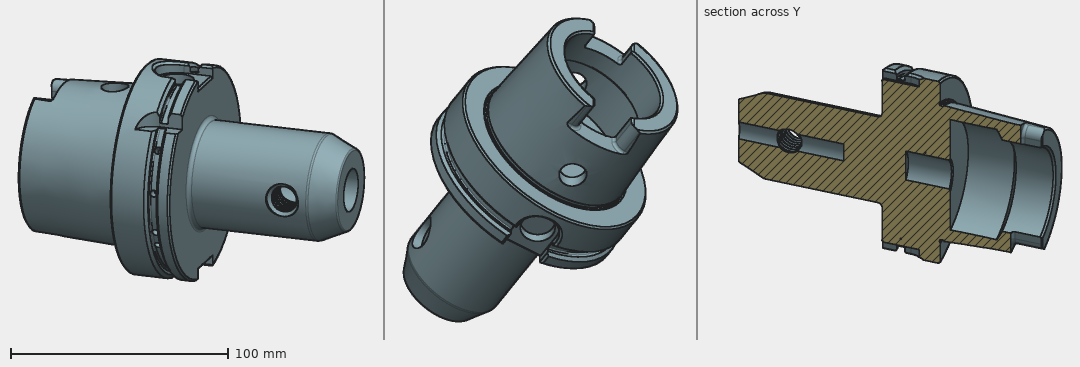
import cadquery as cq
import math


taper_length = 50.0
taper_end_radius = 35.5
taper_slope = 0.05
taper_end_chamfer = 1.0
relief_width = 2.0
relief_ramp = 0.5
relief_radius = 37.4
relief_bottom_radius = 38.1
relief_face_radius = 39.0
relief_face_depth = 0.4

flange_radius = 50.0
flange_width = 29.0
flange_chamfer = 0.9
groove_center = 20.0
groove_floor_radius = 46.0
groove_shoulder_radius = 48.2
groove_mouth_half = 3.45
groove_shoulder_half = 2.05
groove_floor_fillet = 0.7

nose_end = 100.0
nose_radius = 25.0
nose_root_fillet = 2.0
nose_cone_start = 87.2
nose_cone_blend = 2.5
nose_tip_radius = 19.2
nose_tip_fillet = 1.0

clamp_bore_radius = 26.1
clamp_bore_chamfer = 1.0
clamp_lip_end = -30.7
clamp_recess_radius = 31.0
clamp_shoulder_angle = 60.0
clamp_floor = -5.0
tube_bore_radius = 11.8
tube_bore_chamfer = 0.6
tube_bore_floor = 17.0
coolant_radius = 5.4
coolant_chamfer = 0.7
tool_bore_radius = 10.0
tool_bore_floor = 48.0

slot_half_width = 10.0
slot_ledge_height = 32.2
slot_corner_radius = 4.4
slot_floor_fillet = 1.5
slot_mouth_flare = 1.1
slot_mouth_flare_length = 0.5
slot_depths = {1: 10.0, -1: 15.0}

access_hole_x = -15.1
access_hole_radius = 6.3

keyway_half_width = 10.0
keyway_center = 15.0
keyway_floor = 44.0
keyway_chamfer = 1.3
pocket_radius = 8.0
pocket_depth = 5.0

notch_wall = 31.6
notch_end_radius = 9.6
notch_end_center = 17.7

balance_hole_angles = (30.0, 5.0, -20.0, -30.0)
balance_hole_radius = 1.6
balance_hole_bottom = 40.5

screw_x = 75.2
screw_mouth_radius = 7.9
screw_mouth_depth = 1.6
thread_minor_radius = 6.1
thread_major_radius = 7.1
thread_pitch = 2.0
recess_depth = 5.0


def revolve_x(points):
    """Solid of revolution about X from (x, radius) points."""
    profile = cq.Workplane("XY").polyline(points).close()
    return profile.revolve(360, (0, 0, 0), (1, 0, 0))


def cylinder_z(x, y, radius, bottom, top):
    """Upright cylinder between two heights."""
    return cq.Workplane("XY", origin=(x, y, bottom)).circle(radius).extrude(top - bottom)


def box_between(low, high):
    """Axis-aligned box between two opposite corners."""
    size = [b - a for a, b in zip(low, high)]
    return cq.Workplane("XY").box(*size, centered=False).translate(tuple(low))


def edges_near(low, high):
    """Selector for edges whose centres lie between two opposite corners."""
    return cq.selectors.BoxSelector(low, high, boundingbox=False)


def make_taper():
    relief_start_radius = taper_end_radius + taper_slope * (taper_length - relief_width)
    return revolve_x([
        (-taper_length, 0),
        (-taper_length, taper_end_radius - taper_end_chamfer),
        (-taper_length + taper_end_chamfer, taper_end_radius + taper_slope * taper_end_chamfer),
        (-relief_width, relief_start_radius),
        (-relief_width + relief_ramp, relief_radius),
        (relief_face_depth, relief_radius),
        (relief_face_depth, 0),
    ])


def make_nose():
    profile = (
        cq.Workplane("XY")
        .moveTo(flange_width - flange_chamfer, 0)
        .lineTo(flange_width - flange_chamfer, nose_radius + nose_root_fillet)
        .lineTo(flange_width, nose_radius + nose_root_fillet)
        .radiusArc((flange_width + nose_root_fillet, nose_radius), -nose_root_fillet)
        .lineTo(nose_cone_start, nose_radius)
        .lineTo(nose_end, nose_tip_radius)
        .lineTo(nose_end, 0)
        .close()
    )
    nose = profile.revolve(360, (0, 0, 0), (1, 0, 0))
    cone_edge = edges_near(
        (nose_cone_start - nose_cone_blend, -nose_radius, -nose_radius),
        (nose_cone_start + nose_cone_blend, nose_radius, nose_radius),
    )
    nose = nose.edges("%CIRCLE").edges(cone_edge).fillet(nose_cone_blend)
    return nose.faces(">X").edges().fillet(nose_tip_fillet)


def keyway_cutter():
    """Round-ended keyway on +Z, open towards +X."""
    round_end = cylinder_z(keyway_center, 0, keyway_half_width, keyway_floor, flange_radius)
    straight = box_between(
        (keyway_center, -keyway_half_width, keyway_floor),
        (flange_width, keyway_half_width, flange_radius),
    )
    return round_end.union(straight)


def make_flange():
    return revolve_x([
        (0, 0),
        (0, flange_radius - flange_chamfer),
        (flange_chamfer, flange_radius),
        (flange_width - flange_chamfer, flange_radius),
        (flange_width, flange_radius - flange_chamfer),
        (flange_width, 0),
    ])


def rim_selector(side):
    """Edges where a keyway wall meets the outside of the flange."""
    wall_middle = (keyway_floor + flange_radius) / 2
    heights = sorted((side * wall_middle, side * flange_radius))
    return edges_near(
        (flange_chamfer, -flange_radius / 2, heights[0]),
        (flange_width - flange_chamfer / 2, flange_radius / 2, heights[1]),
    )


def floor_end_selector(side):
    """Edge where a keyway floor meets the front face of the flange."""
    margin = flange_chamfer / 2
    return edges_near(
        (flange_width - margin, -margin, side * keyway_floor - margin),
        (flange_width + margin, margin, side * keyway_floor + margin),
    )


def cut_keyways(flange):
    """Keyways on +Z and -Z with chamfered rims and pocketed floors."""
    for side in (1, -1):
        cutter = keyway_cutter()
        pocket = cylinder_z(keyway_center, 0, pocket_radius, keyway_floor - pocket_depth, flange_radius)
        if side < 0:
            cutter = cutter.mirror("XY")
            pocket = pocket.mirror("XY")
        flange = flange.cut(cutter)
        flange = flange.edges(rim_selector(side)).chamfer(keyway_chamfer)
        flange = flange.edges(floor_end_selector(side)).chamfer(flange_chamfer)
        flange = flange.cut(pocket)
    return flange


def cut_groove(flange):
    left_wall = groove_center - groove_shoulder_half
    right_wall = groove_center + groove_shoulder_half
    fillet_top = groove_floor_radius + groove_floor_fillet
    profile = (
        cq.Workplane("XY")
        .moveTo(groove_center - groove_mouth_half, flange_radius)
        .lineTo(left_wall, groove_shoulder_radius)
        .lineTo(left_wall, fillet_top)
        .radiusArc((left_wall + groove_floor_fillet, groove_floor_radius), -groove_floor_fillet)
        .lineTo(right_wall - groove_floor_fillet, groove_floor_radius)
        .radiusArc((right_wall, fillet_top), -groove_floor_fillet)
        .lineTo(right_wall, groove_shoulder_radius)
        .lineTo(groove_center + groove_mouth_half, flange_radius)
        .close()
    )
    groove = profile.revolve(360, (0, 0, 0), (1, 0, 0))
    return flange.cut(groove)


def cut_notch(flange):
    """Square-cornered notch on the -Y, +Z rim with a round end."""
    center_y = -notch_wall - notch_end_radius
    round_end = cylinder_z(notch_end_center, center_y, notch_end_radius, notch_wall, flange_radius)
    straight = box_between(
        (notch_end_center, -flange_radius, notch_wall),
        (flange_width, -notch_wall, flange_radius),
    )
    return flange.cut(round_end.union(straight))


def cut_balance_holes(flange):
    hole_length = groove_shoulder_radius - balance_hole_bottom
    for angle in balance_hole_angles:
        direction = cq.Vector(0, -math.cos(math.radians(angle)), math.sin(math.radians(angle)))
        start = direction * balance_hole_bottom + cq.Vector(groove_center, 0, 0)
        hole = cq.Solid.makeCylinder(balance_hole_radius, hole_length, start, direction)
        flange = flange.cut(cq.Workplane(obj=hole))
    return flange


def relief_ring():
    """Undercut in the contact face around the taper root."""
    return revolve_x([
        (-relief_face_depth, relief_radius),
        (0, relief_radius),
        (relief_face_depth, relief_bottom_radius),
        (0, relief_face_radius),
        (-relief_face_depth, relief_face_radius),
    ])


def axial_bores():
    """Clamping cavity, coolant-tube seat, coolant hole and tool bore, all on the axis."""
    shoulder_slope = math.tan(math.radians(clamp_shoulder_angle))
    shoulder_length = (clamp_recess_radius - clamp_bore_radius) / shoulder_slope
    return revolve_x([
        (-taper_length, 0),
        (-taper_length, clamp_bore_radius + clamp_bore_chamfer),
        (-taper_length + clamp_bore_chamfer, clamp_bore_radius),
        (clamp_lip_end, clamp_bore_radius),
        (clamp_lip_end + shoulder_length, clamp_recess_radius),
        (clamp_floor, clamp_recess_radius),
        (clamp_floor, tube_bore_radius + tube_bore_chamfer),
        (clamp_floor + tube_bore_chamfer, tube_bore_radius),
        (tube_bore_floor, tube_bore_radius),
        (tube_bore_floor, coolant_radius + coolant_chamfer),
        (tube_bore_floor + coolant_chamfer, coolant_radius),
        (tool_bore_floor, coolant_radius),
        (tool_bore_floor, tool_bore_radius),
        (nose_end, tool_bore_radius),
        (nose_end, 0),
    ])


def slot_cutter(depth):
    """Drive slot on +Z, opening outwards over rounded corners; its floor edge is filleted."""
    reach = flange_radius
    corner_y = slot_half_width + slot_corner_radius
    corner_z = slot_ledge_height - slot_corner_radius
    outline = (
        cq.Workplane("YZ", origin=(-taper_length, 0, 0))
        .moveTo(-slot_half_width, 0)
        .lineTo(-slot_half_width, corner_z)
        .radiusArc((-corner_y, slot_ledge_height), -slot_corner_radius)
        .lineTo(-reach, slot_ledge_height)
        .lineTo(-reach, reach)
        .lineTo(reach, reach)
        .lineTo(reach, slot_ledge_height)
        .lineTo(corner_y, slot_ledge_height)
        .radiusArc((slot_half_width, corner_z), -slot_corner_radius)
        .lineTo(slot_half_width, 0)
        .close()
    )
    slot = outline.extrude(depth).faces(">X").edges().fillet(slot_floor_fillet)
    flared_half = slot_half_width + slot_mouth_flare
    mouth = (
        cq.Workplane("XY")
        .moveTo(-taper_length, -flared_half)
        .lineTo(-taper_length, flared_half)
        .lineTo(-taper_length + slot_mouth_flare_length, slot_half_width)
        .lineTo(-taper_length + slot_mouth_flare_length, -slot_half_width)
        .close()
        .extrude(slot_ledge_height - slot_corner_radius / 2)
    )
    return slot.union(mouth)


def cut_drive_slots(body):
    for side, depth in slot_depths.items():
        cutter = slot_cutter(depth)
        if side < 0:
            cutter = cutter.mirror("XY")
        body = body.cut(cutter)
    return body


def cut_access_hole(body):
    return body.cut(cylinder_z(access_hole_x, 0, access_hole_radius, -flange_radius, flange_radius))


def cut_screw_holes(body):
    """Threaded hole into the tool bore from -Y, threads as rings, and a blind recess on +Y."""
    mouth_edge = math.sqrt(nose_radius**2 - screw_mouth_radius**2)
    thread_end = mouth_edge - screw_mouth_depth
    turns = math.floor((thread_end - tool_bore_radius) / thread_pitch)
    points = [(0, 0), (thread_minor_radius, 0)]
    for turn in range(turns):
        root = thread_end - (turns - turn) * thread_pitch
        points.append((thread_minor_radius, root))
        points.append((thread_major_radius, root + thread_pitch / 2))
    points += [
        (thread_minor_radius, thread_end),
        (screw_mouth_radius, mouth_edge),
        (screw_mouth_radius, nose_radius),
        (0, nose_radius),
    ]
    hole = cq.Workplane("XY").polyline(points).close().revolve(360, (0, 0, 0), (0, 1, 0))
    hole = hole.mirror("XZ").translate((screw_x, 0, 0))
    recess = (
        cq.Workplane("XZ", origin=(screw_x, nose_radius, 0))
        .circle(screw_mouth_radius)
        .extrude(recess_depth)
    )
    return body.cut(hole).cut(recess)


flange = make_flange()
flange = cut_keyways(flange)
flange = cut_groove(flange)
flange = cut_notch(flange)
flange = cut_balance_holes(flange)
flange = flange.cut(relief_ring())

body = make_taper().union(flange).union(make_nose())
body = body.cut(axial_bores())
body = cut_drive_slots(body)
body = cut_access_hole(body)
result = cut_screw_holes(body)